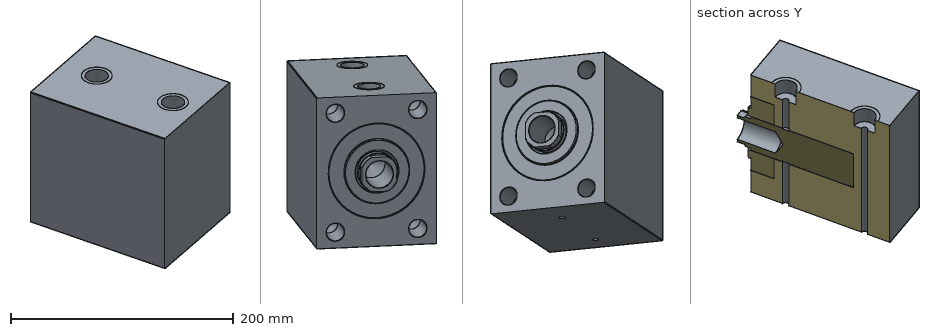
import cadquery as cq
import math

TOTAL_LENGTH = 157.0
BLOCK_WIDTH = 110.0
BLOCK_HEIGHT = 140.0
BLOCK_EDGE_CHAMFER = 0.6

SHOULDER_X = 7.8
GLAND_FRONT_X = 10.8
BLOCK_FRONT_X = 13.8
GLAND_BACK_X = 37.7
ROD_SHOULDER_X = 14.1
ROD_END_X = 119.3

ROD_DIAMETER = 39.4
NECK_DIAMETER = 36.0
NECK_CHAMFER = 0.5
TIP_DIAMETER = NECK_DIAMETER - 2 * NECK_CHAMFER
TIP_ACROSS_FLATS = 32.0
SOCKET_DIAMETER = 25.0
SOCKET_DEPTH = 39.2
SOCKET_CHAMFER = 0.3

GLAND_DIAMETER = 87.1
GLAND_MOUTH_DIAMETER = 40.0
BOSS_DIAMETER = 60.0
BOSS_CHAMFER = 1.0
RECESS_CHAMFER = 0.8

MOUNT_DIAMETER = 16.3
MOUNT_DEPTH = 31.4
MOUNT_CHAMFER = 0.3
MOUNT_SPACING_Y = 75.5
MOUNT_SPACING_Z = 110.2
DRILL_POINT_ANGLE = 118.0

PORT_CENTERS_X = (49.8, 131.0)
SPOTFACE_DIAMETER = 27.8
SPOTFACE_DEPTH = 0.2
PORT_DIAMETER = 20.9
PORT_DEPTH = 15.7
OIL_HOLE_DIAMETER = 6.0


def revolved(profile):
    """Turn a list of (x, radius) points about the X axis."""
    return cq.Workplane("XZ").polyline(profile).close().revolve(360, (0, 0, 0), (1, 0, 0))


def drilled_hole(start_x, diameter, depth, chamfer):
    """Blind hole along +X on the axis, with a chamfered mouth and a conical drill point."""
    radius = diameter / 2
    point_length = radius / math.tan(math.radians(DRILL_POINT_ANGLE / 2))
    return revolved([
        (start_x, 0),
        (start_x, radius + chamfer),
        (start_x + chamfer, radius),
        (start_x + depth, radius),
        (start_x + depth + point_length, 0),
    ])


def port_tool(center_x):
    """Spotface, port and an oil hole right through the block."""
    top_z = BLOCK_HEIGHT / 2
    top = cq.Workplane("XY", origin=(center_x, 0, top_z))
    spotface = top.circle(SPOTFACE_DIAMETER / 2).extrude(-SPOTFACE_DEPTH)
    port = top.circle(PORT_DIAMETER / 2).extrude(-PORT_DEPTH)
    oil_hole = top.circle(OIL_HOLE_DIAMETER / 2).extrude(-BLOCK_HEIGHT)
    return spotface.union(port).union(oil_hole)


def make_block():
    """Housing with a stepped bore, four mounting holes and two oil ports."""
    block = (
        cq.Workplane("XY")
        .box(TOTAL_LENGTH - BLOCK_FRONT_X, BLOCK_WIDTH, BLOCK_HEIGHT)
        .edges("|X")
        .chamfer(BLOCK_EDGE_CHAMFER)
        .translate(((TOTAL_LENGTH + BLOCK_FRONT_X) / 2, 0, 0))
    )

    gland_radius = GLAND_DIAMETER / 2
    rod_radius = ROD_DIAMETER / 2
    bore = revolved([
        (BLOCK_FRONT_X, 0),
        (BLOCK_FRONT_X, gland_radius + RECESS_CHAMFER),
        (BLOCK_FRONT_X + RECESS_CHAMFER, gland_radius),
        (GLAND_BACK_X, gland_radius),
        (GLAND_BACK_X, rod_radius),
        (ROD_END_X, rod_radius),
        (ROD_END_X, 0),
    ])
    block = block.cut(bore)

    mount_hole = drilled_hole(BLOCK_FRONT_X, MOUNT_DIAMETER, MOUNT_DEPTH, MOUNT_CHAMFER)
    for side_y in (-1, 1):
        for side_z in (-1, 1):
            place = (0, side_y * MOUNT_SPACING_Y / 2, side_z * MOUNT_SPACING_Z / 2)
            block = block.cut(mount_hole.translate(place))

    for center_x in PORT_CENTERS_X:
        block = block.cut(port_tool(center_x))
    return block


def make_gland():
    """Flush ring in the block recess with a boss standing out of the front face."""
    rod_radius = ROD_DIAMETER / 2
    mouth_radius = GLAND_MOUTH_DIAMETER / 2
    boss_radius = BOSS_DIAMETER / 2
    gland_radius = GLAND_DIAMETER / 2
    return revolved([
        (ROD_SHOULDER_X, mouth_radius),
        (GLAND_FRONT_X, mouth_radius),
        (GLAND_FRONT_X, boss_radius - BOSS_CHAMFER),
        (GLAND_FRONT_X + BOSS_CHAMFER, boss_radius),
        (BLOCK_FRONT_X, boss_radius),
        (BLOCK_FRONT_X, gland_radius),
        (GLAND_BACK_X, gland_radius),
        (GLAND_BACK_X, rod_radius),
        (ROD_SHOULDER_X, rod_radius),
    ])


def make_rod():
    """Rod with a neck, a tip with four wrench flats and a drilled socket."""
    neck_radius = NECK_DIAMETER / 2
    rod_radius = ROD_DIAMETER / 2
    shaft = revolved([
        (SHOULDER_X, 0),
        (SHOULDER_X, neck_radius - NECK_CHAMFER),
        (SHOULDER_X + NECK_CHAMFER, neck_radius),
        (ROD_SHOULDER_X, neck_radius),
        (ROD_SHOULDER_X, rod_radius),
        (ROD_END_X, rod_radius),
        (ROD_END_X, 0),
    ])
    flats = cq.Workplane("YZ").rect(TIP_ACROSS_FLATS, TIP_ACROSS_FLATS).extrude(SHOULDER_X)
    tip = cq.Workplane("YZ").circle(TIP_DIAMETER / 2).extrude(SHOULDER_X).intersect(flats)
    socket = drilled_hole(0, SOCKET_DIAMETER, SOCKET_DEPTH, SOCKET_CHAMFER)
    return shaft.union(tip).cut(socket)


block = make_block()
gland = make_gland()
rod = make_rod()

result = cq.Compound.makeCompound([block.val(), gland.val(), rod.val()])